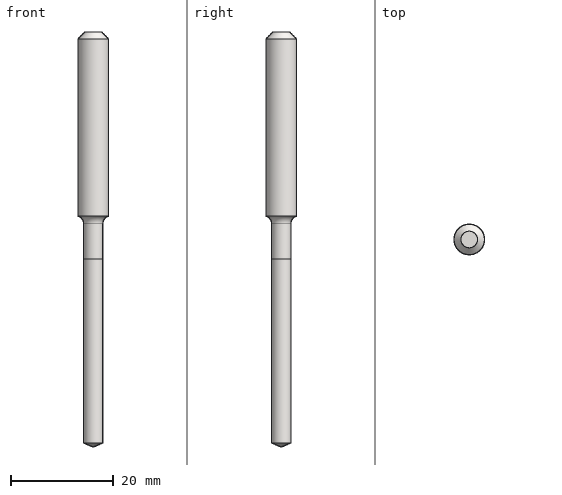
import cadquery as cq
import math

total_length = 81.0
shank_diameter = 6.0
drill_diameter = 3.8

tip_height = 0.8
joint_height = 36.7
neck_top_height = 43.6
shank_bottom_height = 45.0
end_chamfer = 1.4

shank_radius = shank_diameter / 2
drill_radius = drill_diameter / 2

transition_rise = shank_bottom_height - neck_top_height
transition_step = shank_radius - drill_radius
transition_radius = (transition_step**2 + transition_rise**2) / (2 * transition_step)
arc_half_angle = math.asin(transition_rise / transition_radius) / 2
arc_middle = (
    drill_radius + transition_radius * (1 - math.cos(arc_half_angle)),
    neck_top_height + transition_radius * math.sin(arc_half_angle),
)


def make_cutting_part():
    """Round cutting part with a conical tip."""
    return (
        cq.Workplane("XZ")
        .moveTo(0, 0)
        .lineTo(drill_radius, tip_height)
        .lineTo(drill_radius, joint_height)
        .lineTo(0, joint_height)
        .close()
        .revolve(360, (0, 0), (0, 1))
    )


def make_shank():
    """Shank with a chamfered end, narrowing through an arc to the neck."""
    return (
        cq.Workplane("XZ")
        .moveTo(0, joint_height)
        .lineTo(drill_radius, joint_height)
        .lineTo(drill_radius, neck_top_height)
        .threePointArc(arc_middle, (shank_radius, shank_bottom_height))
        .lineTo(shank_radius, total_length - end_chamfer)
        .lineTo(shank_radius - end_chamfer, total_length)
        .lineTo(0, total_length)
        .close()
        .revolve(360, (0, 0), (0, 1))
    )


cutting_part = make_cutting_part()
shank = make_shank()
result = cq.Compound.makeCompound([cutting_part.val(), shank.val()])